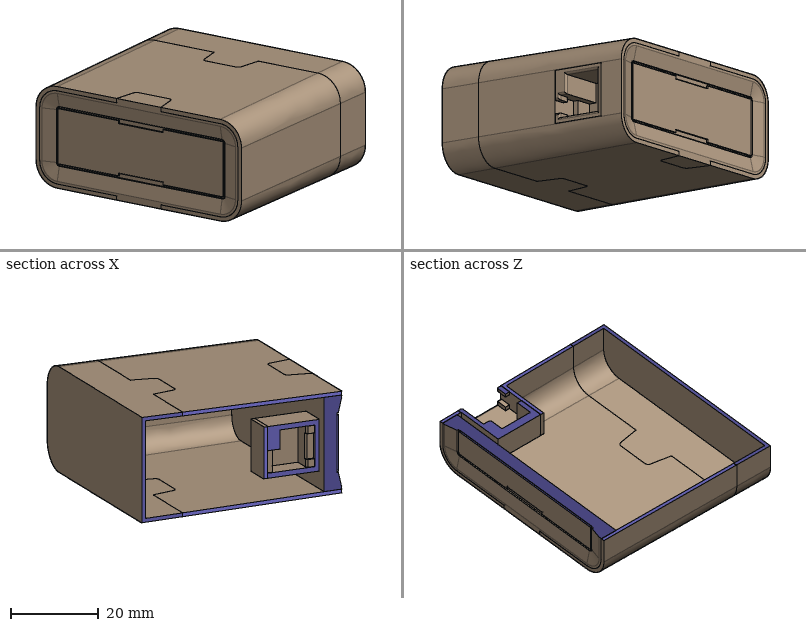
import cadquery as cq
import math

width = 56.95
length = 50.45
height = 25.2
corner_radius = 6.25
draft_angle = 0.5
wall = 1.0
front_y = -length / 2
rear_y = length / 2

cap_length = 10.25
tab_length = 6.3
tab_root_width = 12.1
tab_side_angle = 10.0
tab_corner_radius = 1.0

frame_depth = 4.55
rim_width = 0.6
surround_inset = 3.4
surround_depth = 0.8
seat_depth = 0.4

panel_gap = 0.45
panel_notch_width = tab_root_width
panel_notch_depth = 0.7

socket_face_x = -28.15
socket_offset = 5.7
socket_width = 12.9
socket_height = 12.4
socket_depth = 13.65

cavity_depth = 11.4
cavity_near = 1.15
cavity_step = 9.85
cavity_far = 11.75
cavity_half_height = 4.9
cavity_step_z = 0.35
mouth_radius = 0.5

latch_depth = 6.95
latch_plate = 3.0
latch_top_z = -0.8
latch_bottom_z = -3.8

bar_width = 2.05
bar_slope = 0.45
bar_end_height = 4.55
bar_middle_height = 4.0
bar_middle_length = 6.15


def block(x_range, y_range, z_range):
    """Box between the two ends given along each axis."""
    size = [end - start for start, end in (x_range, y_range, z_range)]
    corner = (x_range[0], y_range[0], z_range[0])
    return cq.Workplane("XY").box(*size, centered=False).translate(corner)


def slab(start_y, end_y):
    """Cross slice of space, larger than the case, between two places along Y."""
    return block((-width, width), (start_y, end_y), (-height, height))


def tapered_box(start_y, size_x, size_z, radius, reach, taper):
    """Rounded box that narrows as it runs toward -Y, or toward +Y if the reach is negative."""
    return (
        cq.Workplane("XZ", origin=(0, start_y, 0))
        .sketch()
        .rect(size_x, size_z)
        .vertices()
        .fillet(radius)
        .finalize()
        .extrude(reach, taper=taper)
    )


def case_envelope(inset):
    """Full-length tapered case, moved inward by the inset on its four sides."""
    size_x = width - 2 * inset
    size_z = height - 2 * inset
    return tapered_box(rear_y, size_x, size_z, corner_radius - inset, length, draft_angle)


def tab_prism(root_y):
    """Upright trapezoid prism with rounded tips, reaching from its root toward the middle of the case."""
    direction = 1 if root_y < 0 else -1
    root_half = tab_root_width / 2
    tip_half = root_half - tab_length * math.tan(math.radians(tab_side_angle))
    tip_y = root_y + direction * tab_length
    outline = [(-root_half, root_y), (root_half, root_y), (tip_half, tip_y), (-tip_half, tip_y)]
    prism = cq.Workplane("XY", origin=(0, 0, -height)).polyline(outline).close().extrude(2 * height)
    tip_face = ">Y" if direction > 0 else "<Y"
    return prism.faces(tip_face).edges("|Z").fillet(tab_corner_radius)


cap_joint_y = rear_y - cap_length
outer = case_envelope(0)
inner = case_envelope(wall)
shell = outer.cut(inner)
front_tabs = shell.intersect(tab_prism(front_y))
rear_tabs = shell.intersect(tab_prism(cap_joint_y))

socket_near_y = front_y + socket_offset
socket_far_y = socket_near_y + socket_width
socket_x_range = (socket_face_x, socket_face_x + socket_depth)
socket_z_range = (-socket_height / 2, socket_height / 2)
socket_block = block(socket_x_range, (socket_near_y, socket_far_y), socket_z_range)
socket_opening = socket_block.union(socket_block.translate((-socket_depth / 2, 0, 0)))

draft_shrink = length * math.tan(math.radians(draft_angle))
opening_inset = draft_shrink + wall + rim_width
opening_width = width - 2 * opening_inset
opening_height = height - 2 * opening_inset
opening_radius = corner_radius - opening_inset
seat_width = opening_width - 2 * surround_inset
seat_height = opening_height - 2 * surround_inset
seat_y = front_y + surround_depth


def make_housing():
    """Tube open at both ends, notched for the tabs, with an opening and a guide wall for the socket."""
    tube = shell.intersect(slab(front_y, cap_joint_y))
    guide = inner.intersect(block(socket_x_range, (socket_far_y, socket_far_y + wall), socket_z_range))
    return tube.union(guide).cut(front_tabs).cut(rear_tabs).cut(socket_opening)


def make_cap():
    """Cup that closes the rear, with a tab on its top and bottom."""
    rim = shell.intersect(slab(cap_joint_y, rear_y))
    back = inner.intersect(slab(rear_y - wall, rear_y))
    return rim.union(back).union(rear_tabs)


def make_frame():
    """Plug in the front of the housing, with the sloping surround and the panel seat."""
    plug = inner.intersect(slab(front_y, front_y + frame_depth))
    slope_angle = math.degrees(math.atan(surround_inset / surround_depth))
    surround = tapered_box(
        front_y, opening_width, opening_height, opening_radius, -surround_depth, slope_angle
    )
    seat = (
        cq.Workplane("XZ", origin=(0, seat_y, 0))
        .rect(seat_width, seat_height)
        .extrude(-seat_depth)
        .edges("|Y")
        .fillet(opening_radius - surround_inset)
    )
    return plug.cut(surround).cut(seat).union(front_tabs)


def make_panel():
    """Plate on the floor of the seat, level with the inner edge of the surround."""
    panel_width = seat_width - 2 * panel_gap
    panel_height = seat_height - 2 * panel_gap
    plane = cq.Workplane("XZ", origin=(0, seat_y, 0))
    plate = plane.rect(panel_width, panel_height).extrude(-seat_depth)
    notches = (
        plane.pushPoints([(0, -panel_height / 2), (0, panel_height / 2)])
        .rect(panel_notch_width, 2 * panel_notch_depth)
        .extrude(-seat_depth)
    )
    return plate.cut(notches)


def socket_plane(depth):
    """Plane facing +X at a depth below the socket face, with Y counted from the near side."""
    return cq.Workplane("YZ", origin=(socket_face_x + depth, socket_near_y, 0))


def main_cavity():
    """Stepped cavity for the plug body."""
    outline = [
        (cavity_near, -cavity_half_height),
        (cavity_far, -cavity_half_height),
        (cavity_far, cavity_step_z),
        (cavity_step, cavity_step_z),
        (cavity_step, cavity_half_height),
        (cavity_near, cavity_half_height),
    ]
    return socket_plane(0).polyline(outline).close().extrude(cavity_depth)


def latch_space():
    """Latch slot through the front plate, and the taller space behind it."""
    end_x = socket_face_x + latch_depth
    y_range = (socket_near_y + cavity_step, socket_far_y)
    slot = block((socket_face_x, end_x), y_range, (latch_bottom_z, latch_top_z))
    behind_plate = block(
        (socket_face_x + latch_plate, end_x),
        y_range,
        (-cavity_half_height, cavity_step_z),
    )
    return slot.union(behind_plate)


def contact_bar(length_z, height):
    """Bar on the back wall of the cavity, with a slope on its far edge."""
    bar = socket_plane(cavity_depth).moveTo(cavity_near + bar_width / 2, 0).rect(bar_width, length_z)
    return bar.extrude(-height).edges("<X and >Y").chamfer(bar_slope)


def make_socket():
    """Jack block with its stepped cavity, latch slot and contact bar."""
    opening = main_cavity().union(latch_space())
    end_bar = contact_bar(2 * cavity_half_height, bar_end_height)
    middle_gap = socket_plane(0).rect(2 * width, bar_middle_length).extrude(cavity_depth)
    bar = end_bar.cut(middle_gap).union(contact_bar(bar_middle_length, bar_middle_height))
    mouth_edges = cq.selectors.BoxSelector(
        (socket_face_x - mouth_radius, socket_near_y + mouth_radius, -socket_height / 2 + mouth_radius),
        (socket_face_x + mouth_radius, socket_far_y - mouth_radius, socket_height / 2 - mouth_radius),
    )
    return socket_block.cut(opening).edges(mouth_edges).fillet(mouth_radius).union(bar)


bodies = [make_housing(), make_cap(), make_frame(), make_panel(), make_socket()]
result = cq.Compound.makeCompound([body.solids().val() for body in bodies])